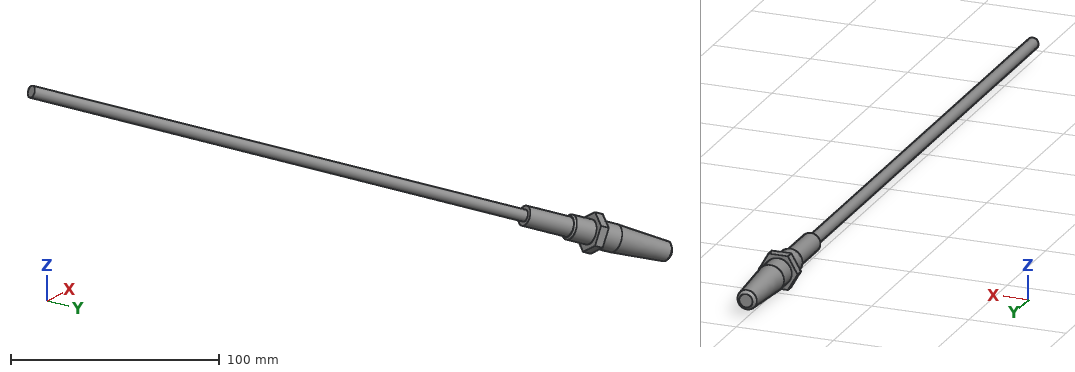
import cadquery as cq


OVERALL_LENGTH = 374.0
BOOT_LENGTH = 32.0
BOOT_END_DIAMETER = 9.8
BOOT_BASE_DIAMETER = 14.0
BOOT_END_CHAMFER = 1.5
COLLAR_LENGTH = 10.0
COLLAR_DIAMETER = BOOT_BASE_DIAMETER
HEX_ACROSS_CORNERS = 20.0
HEX_THICKNESS = 4.5
BODY_LENGTH = 12.5
BODY_DIAMETER = 12.5
BODY_END_CHAMFER = 1.0
SLEEVE_LENGTH = 25.5
SLEEVE_DIAMETER = 10.0
ROD_DIAMETER = 6.0

boot_base = COLLAR_LENGTH
boot_tip = boot_base + BOOT_LENGTH
hex_end = -HEX_THICKNESS
body_end = hex_end - BODY_LENGTH
sleeve_end = body_end - SLEEVE_LENGTH
rod_tip = boot_tip - OVERALL_LENGTH


def plane_facing_minus_y(y):
    """XZ workplane at station y; extruding from it goes towards -Y."""
    return cq.Workplane("XZ", origin=(0, y, 0))


def cylinder(y_start, y_end, diameter):
    """Round bar along the axis between two stations, running towards -Y."""
    return plane_facing_minus_y(y_start).circle(diameter / 2).extrude(y_start - y_end)


def make_boot():
    """Tapered cable boot with a chamfered narrow end."""
    base_radius = BOOT_BASE_DIAMETER / 2
    end_radius = BOOT_END_DIAMETER / 2
    half_profile = (
        cq.Workplane("XY")
        .moveTo(0, boot_base)
        .lineTo(base_radius, boot_base)
        .lineTo(end_radius, boot_tip)
        .lineTo(0, boot_tip)
        .close()
    )
    boot = half_profile.revolve(360, (0, 0, 0), (0, 1, 0))
    return boot.faces(">Y").edges().chamfer(BOOT_END_CHAMFER)


def make_collar():
    """Plain ring between the boot and the hex flange."""
    return cylinder(boot_base, 0, COLLAR_DIAMETER)


def make_hex_flange():
    """Hexagonal flange with two corners on the X axis."""
    return plane_facing_minus_y(0).polygon(6, HEX_ACROSS_CORNERS).extrude(HEX_THICKNESS)


def make_body():
    """Round body below the flange, chamfered where the sleeve leaves it."""
    body = cylinder(hex_end, body_end, BODY_DIAMETER)
    return body.faces("<Y").edges().chamfer(BODY_END_CHAMFER)


def make_sleeve():
    """Narrow sleeve between the body and the rod."""
    return cylinder(body_end, sleeve_end, SLEEVE_DIAMETER)


def make_rod():
    """Long slender rod."""
    return cylinder(sleeve_end, rod_tip, ROD_DIAMETER)


boot = make_boot()
collar = make_collar()
hex_flange = make_hex_flange()
body = make_body()
sleeve = make_sleeve()
rod = make_rod()

result = cq.Compound.makeCompound(
    [boot.val(), collar.val(), hex_flange.val(), body.val(), sleeve.val(), rod.val()]
)